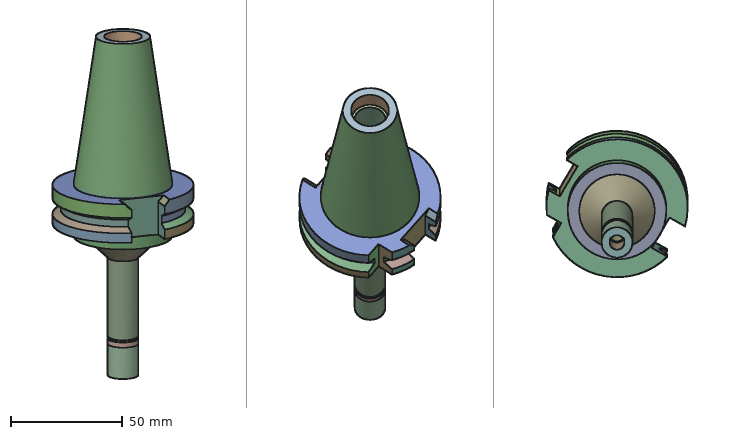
import cadquery as cq

TOTAL_LENGTH = 158.4
TAPER_LENGTH = 68.5
GAUGE_Z = TOTAL_LENGTH - TAPER_LENGTH
FLANGE_TOP_Z = GAUGE_Z - 1.0
FLANGE_BOTTOM_Z = GAUGE_Z - 19.0
NOSE_BOTTOM_Z = GAUGE_Z - 24.9
SHANK_BOTTOM_Z = 18.0
RELIEF_GAP = 1.0
RING_TOP_Z = SHANK_BOTTOM_Z - RELIEF_GAP
RING_BOTTOM_Z = 14.7

GAUGE_RADIUS = 22.2
TAPER_RATIO = 7 / 24
TAPER_TOP_RADIUS = GAUGE_RADIUS - TAPER_LENGTH * TAPER_RATIO / 2
FLANGE_RADIUS = 63.5 / 2
SHANK_RADIUS = 7.0
CONE_TOP_RADIUS = 17.0
CONE_BOTTOM_Z = NOSE_BOTTOM_Z - (CONE_TOP_RADIUS - SHANK_RADIUS)
RELIEF_RADIUS = SHANK_RADIUS - 0.5

GROOVE_ROOT_RADIUS = 28.0
GROOVE_CENTRE_Z = GAUGE_Z - 11.0
GROOVE_MOUTH = 7.3
GROOVE_ROOT = 3.3

SLOT_WIDTH = 16.0
SLOT_BEVEL = 2.7
LEFT_SLOT_FLOOR = 25.0
RIGHT_SLOT_FLOOR = 22.7

NOTCH_OFFSET = 18.4

DRAWBAR_RADIUS = 17.0 / 2
DRAWBAR_DEPTH = 8.0
INNER_BORE_RADIUS = 7.1
INNER_BORE_DEPTH = 31.7
COOLANT_RADIUS = 3.3


def holder_blank():
    """Taper, flange, nose, cone and shank turned in one profile."""
    mouth_top = GROOVE_CENTRE_Z + GROOVE_MOUTH / 2
    mouth_bottom = GROOVE_CENTRE_Z - GROOVE_MOUTH / 2
    root_top = GROOVE_CENTRE_Z + GROOVE_ROOT / 2
    root_bottom = GROOVE_CENTRE_Z - GROOVE_ROOT / 2
    profile = [
        (0, TOTAL_LENGTH),
        (TAPER_TOP_RADIUS, TOTAL_LENGTH),
        (GAUGE_RADIUS, GAUGE_Z),
        (GAUGE_RADIUS, FLANGE_TOP_Z),
        (FLANGE_RADIUS, FLANGE_TOP_Z),
        (FLANGE_RADIUS, mouth_top),
        (GROOVE_ROOT_RADIUS, root_top),
        (GROOVE_ROOT_RADIUS, root_bottom),
        (FLANGE_RADIUS, mouth_bottom),
        (FLANGE_RADIUS, FLANGE_BOTTOM_Z),
        (GAUGE_RADIUS, FLANGE_BOTTOM_Z),
        (GAUGE_RADIUS, NOSE_BOTTOM_Z),
        (CONE_TOP_RADIUS, NOSE_BOTTOM_Z),
        (SHANK_RADIUS, CONE_BOTTOM_Z),
        (SHANK_RADIUS, SHANK_BOTTOM_Z),
        (RELIEF_RADIUS, SHANK_BOTTOM_Z),
        (RELIEF_RADIUS, RING_TOP_Z),
        (0, RING_TOP_Z),
    ]
    return cq.Workplane("XZ").polyline(profile).close().revolve(360, (0, 0), (0, 1))


def drive_slot(side, floor):
    """Cutter for a slot open to +X (side = 1) or -X (side = -1), bevelled at its top edges."""
    half_width = SLOT_WIDTH / 2
    bevel_z = FLANGE_TOP_Z - SLOT_BEVEL
    outline = [
        (-half_width, FLANGE_BOTTOM_Z),
        (half_width, FLANGE_BOTTOM_Z),
        (half_width, bevel_z),
        (half_width + SLOT_BEVEL, FLANGE_TOP_Z),
        (-half_width - SLOT_BEVEL, FLANGE_TOP_Z),
        (-half_width, bevel_z),
    ]
    return (
        cq.Workplane("YZ", origin=(side * floor, 0, 0))
        .polyline(outline)
        .close()
        .extrude(side * (FLANGE_RADIUS - floor))
    )


def corner_notch():
    """Cutter for the square notch through the flange at its -X, +Y corner."""
    size = FLANGE_RADIUS - NOTCH_OFFSET
    return cq.Workplane("XY").box(size, size, FLANGE_TOP_Z - FLANGE_BOTTOM_Z, centered=False).translate(
        (-FLANGE_RADIUS, NOTCH_OFFSET, FLANGE_BOTTOM_Z)
    )


def bore(radius, top, bottom):
    """Cutter for a round hole on the axis."""
    return cq.Workplane("XY", origin=(0, 0, bottom)).circle(radius).extrude(top - bottom)


def make_holder():
    return (
        holder_blank()
        .cut(drive_slot(-1, LEFT_SLOT_FLOOR))
        .cut(drive_slot(1, RIGHT_SLOT_FLOOR))
        .cut(corner_notch())
        .cut(bore(DRAWBAR_RADIUS, TOTAL_LENGTH, TOTAL_LENGTH - DRAWBAR_DEPTH))
        .cut(bore(INNER_BORE_RADIUS, TOTAL_LENGTH, TOTAL_LENGTH - INNER_BORE_DEPTH))
        .cut(bore(COOLANT_RADIUS, TOTAL_LENGTH, RING_TOP_Z))
    )


def make_sleeve(top, bottom):
    """Plain tube that continues the shank and its central hole."""
    return (
        cq.Workplane("XY", origin=(0, 0, bottom))
        .circle(SHANK_RADIUS)
        .circle(COOLANT_RADIUS)
        .extrude(top - bottom)
    )


holder = make_holder()
spacer_ring = make_sleeve(RING_TOP_Z, RING_BOTTOM_Z)
tip_sleeve = make_sleeve(RING_BOTTOM_Z, 0)

result = cq.Compound.makeCompound([holder.val(), spacer_ring.val(), tip_sleeve.val()])